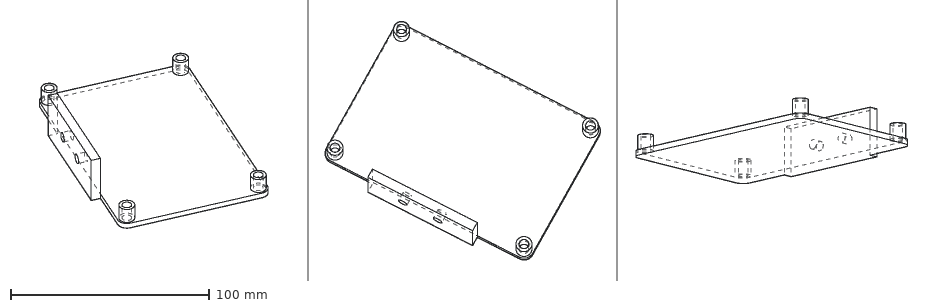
import cadquery as cq

plate_length = 118.0
plate_width = 81.1
plate_thickness = 3.0
corner_radius = 5.0

standoff_diameter = 8.0
standoff_height = 8.0
bore_diameter = 4.8

wall_length = 60.0
wall_thickness = 5.0
wall_height = 25.0
wall_hole_diameter = 4.8
wall_hole_spacing = 20.0


def make_plate():
    """Rounded plate with its underside at Z = 0."""
    return (
        cq.Workplane("XY")
        .box(plate_length, plate_width, plate_thickness, centered=(True, True, False))
        .edges("|Z")
        .fillet(corner_radius)
    )


def make_standoffs():
    """Four tubes on the plate; their bores stop at the plate's top face."""
    return (
        cq.Workplane("XY")
        .workplane(offset=plate_thickness)
        .rect(plate_length - 2 * corner_radius, plate_width - 2 * corner_radius, forConstruction=True)
        .vertices()
        .circle(standoff_diameter / 2)
        .circle(bore_diameter / 2)
        .extrude(standoff_height)
    )


def make_wall():
    """Upright wall against the plate edge, with two through holes at mid-height."""
    wall = (
        cq.Workplane("XY")
        .box(wall_length, wall_thickness, wall_height, centered=(True, True, False))
        .translate((0, -(plate_width + wall_thickness) / 2, 0))
    )
    return (
        wall.faces("<Y")
        .workplane(centerOption="CenterOfBoundBox")
        .rarray(wall_hole_spacing, 1.2, 2, 1)
        .hole(wall_hole_diameter)
    )


result = make_plate().union(make_standoffs()).union(make_wall())